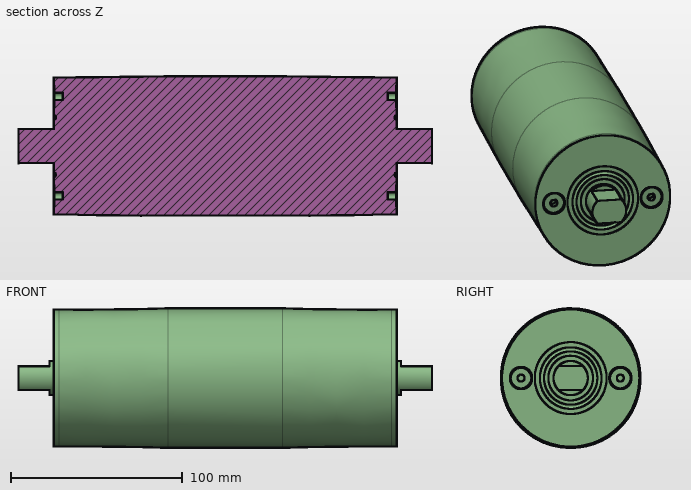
import cadquery as cq

overall_length = 241.0
body_length = 200.0
centre_length = 66.5
cap_width = 3.1
centre_diameter = 81.5
end_diameter = 80.0

shaft_diameter = 20.0
flat_length = 18.0
flat_thickness = 14.0

seal_diameter = 42.0
seal_depth = 0.12
groove_outer = 36.0
groove_inner = 31.0
groove_depth = 1.2
bore_diameter = 26.0
bore_depth = 0.2

pocket_diameter = 13.0
pocket_floor_diameter = 12.0
pocket_depth = 0.5
pocket_spacing = 57.8
hole_diameter = 4.0
hole_depth = 4.8

half_length = overall_length / 2
half_body = body_length / 2
face_x = -half_body
axis_start = (0, 0, 0)
axis_end = (1, 0, 0)


def cylinder(diameter, x_start, x_end):
    """Cylinder on the X axis between two stations."""
    return (
        cq.Workplane("YZ", origin=(x_start, 0, 0))
        .circle(diameter / 2)
        .extrude(x_end - x_start)
    )


def make_body():
    """Cylindrical centre, conical flanks and a straight rim at each end."""
    centre_x = centre_length / 2
    cap_x = half_body - cap_width
    return (
        cq.Workplane("XY")
        .moveTo(-half_body, 0)
        .lineTo(-half_body, end_diameter / 2)
        .lineTo(-cap_x, end_diameter / 2)
        .lineTo(-centre_x, centre_diameter / 2)
        .lineTo(centre_x, centre_diameter / 2)
        .lineTo(cap_x, end_diameter / 2)
        .lineTo(half_body, end_diameter / 2)
        .lineTo(half_body, 0)
        .close()
        .revolve(360, axis_start, axis_end)
    )


def make_seal_cut():
    """Stepped recess around the shaft and the groove in its floor."""
    seal_x = face_x + seal_depth
    groove_mid_radius = (groove_inner + groove_outer) / 4
    groove = (
        cq.Workplane("XY")
        .moveTo(seal_x, groove_inner / 2)
        .threePointArc((face_x + groove_depth, groove_mid_radius), (seal_x, groove_outer / 2))
        .close()
        .revolve(360, axis_start, axis_end)
    )
    recess = cylinder(seal_diameter, face_x, seal_x)
    bore = cylinder(bore_diameter, face_x, face_x + bore_depth)
    return recess.union(bore).union(groove)


def make_screw_cut(y):
    """Tapered pocket and its hole, centred at the given Y."""
    floor_x = face_x + pocket_depth
    pocket = (
        cq.Workplane("XY")
        .moveTo(face_x, 0)
        .lineTo(face_x, pocket_diameter / 2)
        .lineTo(floor_x, pocket_floor_diameter / 2)
        .lineTo(floor_x, 0)
        .close()
        .revolve(360, axis_start, axis_end)
    )
    hole = cylinder(hole_diameter, floor_x, floor_x + hole_depth)
    return pocket.union(hole).translate((0, y, 0))


def make_shaft():
    """Round bar with a flat above and below at both ends."""
    bar = cylinder(shaft_diameter, -half_length, half_length)
    flats = cq.Workplane("XY").box(overall_length, shaft_diameter, flat_thickness)
    round_part = cylinder(shaft_diameter, flat_length - half_length, half_length - flat_length)
    return bar.intersect(flats).union(round_part)


result = make_body()
end_cuts = [make_seal_cut()]
for side in (-1, 1):
    end_cuts.append(make_screw_cut(side * pocket_spacing / 2))
for cut in end_cuts:
    result = result.cut(cut).cut(cut.mirror("YZ"))
result = result.union(make_shaft())